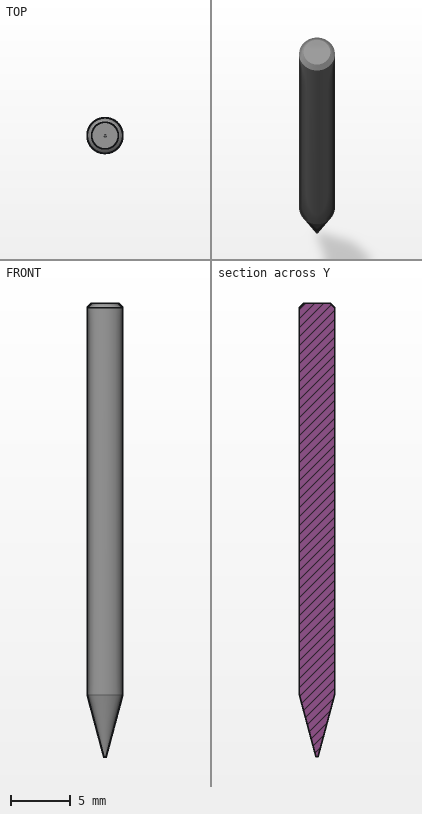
import cadquery as cq
import math

length = 38.0
diameter = 3.0
radius = diameter / 2

tip_radius = 0.1
cone_half_angle = 15.0
cone_height = (radius - tip_radius) / math.tan(math.radians(cone_half_angle))

chamfer_height = 0.38
chamfer_width = 0.38

bottom = -length / 2
top = length / 2
profile = (
    cq.Workplane("XZ")
    .moveTo(0, bottom)
    .lineTo(tip_radius, bottom)
    .lineTo(radius, bottom + cone_height)
    .lineTo(radius, top - chamfer_height)
    .lineTo(radius - chamfer_width, top)
    .lineTo(0, top)
    .close()
)

result = profile.revolve(360, (0, 0, 0), (0, 1, 0))